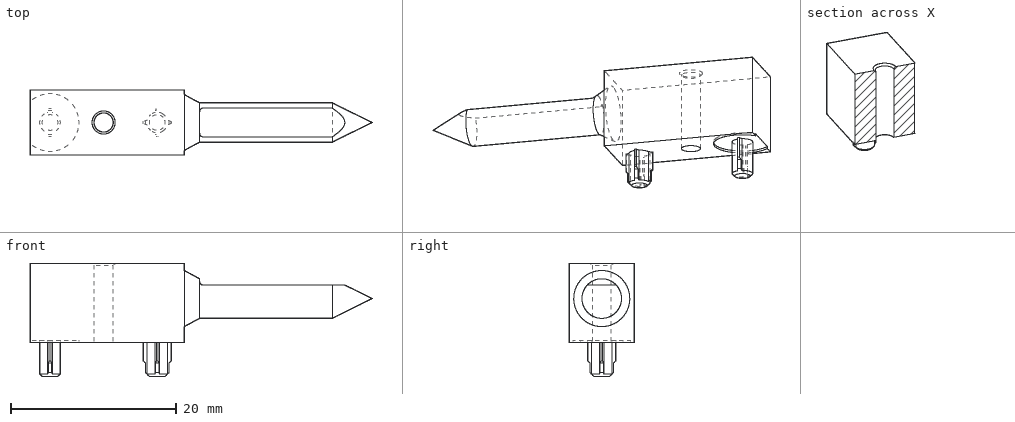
import cadquery as cq

BLOCK_LENGTH = 18.7
BLOCK_WIDTH = 7.9
BLOCK_HEIGHT = 9.6

TOTAL_LENGTH = 41.47
PLUG_RADIUS = 2.4
PLUG_AXIS_Z = 5.35
PLUG_FLAT_HEIGHT = 1.65
FLAT_END_FILLET = 0.4
COLLAR_RADIUS = 3.4
COLLAR_LENGTH = 1.85
TIP_LENGTH = 4.85

HOLE_X = 8.9
HOLE_DIAMETER = 2.3
HOLE_CHAMFER = 0.25

REAR_PIN_X = 2.4
PIN_PITCH = 13.0
PLUG_SIDE_PIN_X = REAR_PIN_X + PIN_PITCH
PIN_LENGTH = 4.1
PIN_RADIUS = 1.25
PIN_END_RADIUS = 0.95
RIB_LOWER_RADIUS = 1.45
RIB_UPPER_RADIUS = 1.7
REAR_PIN_RIB_ANGLES = [90, 270]
PLUG_SIDE_PIN_RIB_ANGLES = [0, 90, 180, 270]
RIB_STEP_DEPTH = 2.2
RIB_BASE_WIDTH = 0.56
RIB_CREST_WIDTH = 0.2
RIB_TRIM = 0.1

RECESS_DIAMETER = 7.0
RECESS_DEPTH = 0.25


def make_block():
    """Rectangular housing with the chamfered through hole and the pin recess."""
    block = cq.Workplane("XY").box(
        BLOCK_LENGTH, BLOCK_WIDTH, BLOCK_HEIGHT, centered=(False, True, False)
    )
    hole = (
        cq.Workplane("XY", origin=(HOLE_X, 0, 0))
        .circle(HOLE_DIAMETER / 2)
        .extrude(BLOCK_HEIGHT)
    )
    countersink = cq.Workplane(
        cq.Solid.makeCone(
            HOLE_DIAMETER / 2,
            HOLE_DIAMETER / 2 + HOLE_CHAMFER,
            HOLE_CHAMFER,
            pnt=cq.Vector(HOLE_X, 0, BLOCK_HEIGHT - HOLE_CHAMFER),
        )
    )
    recess = (
        cq.Workplane("XY", origin=(REAR_PIN_X, 0, 0))
        .circle(RECESS_DIAMETER / 2)
        .extrude(RECESS_DEPTH)
    )
    return block.cut(hole).cut(countersink).cut(recess)


def make_plug():
    """Turned plug with a conical collar and tip, and a flat along its top."""
    collar_end = BLOCK_LENGTH + COLLAR_LENGTH
    plug = (
        cq.Workplane("XZ")
        .moveTo(BLOCK_LENGTH, PLUG_AXIS_Z)
        .lineTo(BLOCK_LENGTH, PLUG_AXIS_Z + COLLAR_RADIUS)
        .lineTo(collar_end, PLUG_AXIS_Z + PLUG_RADIUS)
        .lineTo(TOTAL_LENGTH - TIP_LENGTH, PLUG_AXIS_Z + PLUG_RADIUS)
        .lineTo(TOTAL_LENGTH, PLUG_AXIS_Z)
        .close()
        .revolve(360, (BLOCK_LENGTH, PLUG_AXIS_Z, 0), (TOTAL_LENGTH, PLUG_AXIS_Z, 0))
    )
    flat_z = PLUG_AXIS_Z + PLUG_FLAT_HEIGHT
    flat_cutter = (
        cq.Workplane("XZ")
        .moveTo(collar_end, BLOCK_HEIGHT)
        .lineTo(collar_end, flat_z + FLAT_END_FILLET)
        .radiusArc((collar_end + FLAT_END_FILLET, flat_z), -FLAT_END_FILLET)
        .lineTo(TOTAL_LENGTH, flat_z)
        .lineTo(TOTAL_LENGTH, BLOCK_HEIGHT)
        .close()
        .extrude(PLUG_RADIUS, both=True)
    )
    return plug.cut(flat_cutter)


def make_rib():
    """Full height rib along +X whose flanks converge outward, rooted on the pin axis."""
    flank_slope = (RIB_BASE_WIDTH - RIB_CREST_WIDTH) / 2 / (RIB_UPPER_RADIUS - PIN_RADIUS)
    root_half_width = RIB_CREST_WIDTH / 2 + flank_slope * RIB_UPPER_RADIUS
    crest_half_width = RIB_CREST_WIDTH / 2 - flank_slope * RIB_TRIM
    crest_x = RIB_UPPER_RADIUS + RIB_TRIM
    return (
        cq.Workplane("XY", origin=(0, 0, -PIN_LENGTH))
        .polyline([
            (0, -root_half_width),
            (crest_x, -crest_half_width),
            (crest_x, crest_half_width),
            (0, root_half_width),
        ])
        .close()
        .extrude(PIN_LENGTH + RECESS_DEPTH)
    )


def make_pin_envelope():
    """Turned outline of the ribbed pin: stepped rib crests and a chamfered end."""
    rib_step = RIB_UPPER_RADIUS - RIB_LOWER_RADIUS
    end_chamfer = RIB_LOWER_RADIUS - PIN_END_RADIUS
    return (
        cq.Workplane("XZ")
        .polyline([
            (0, RECESS_DEPTH),
            (RIB_UPPER_RADIUS, RECESS_DEPTH),
            (RIB_UPPER_RADIUS, -RIB_STEP_DEPTH),
            (RIB_LOWER_RADIUS, -RIB_STEP_DEPTH - rib_step),
            (RIB_LOWER_RADIUS, -PIN_LENGTH + end_chamfer),
            (PIN_END_RADIUS, -PIN_LENGTH),
            (0, -PIN_LENGTH),
        ])
        .close()
        .revolve(360, (0, 0, 0), (0, 1, 0))
    )


def make_pin(pin_x, rib_angles):
    """Round core with ribs at the given angles, trimmed to the pin envelope."""
    pin = (
        cq.Workplane("XY", origin=(0, 0, -PIN_LENGTH))
        .circle(PIN_RADIUS)
        .extrude(PIN_LENGTH + RECESS_DEPTH)
    )
    for angle in rib_angles:
        pin = pin.union(make_rib().rotate((0, 0, 0), (0, 0, 1), angle))
    return pin.intersect(make_pin_envelope()).translate((pin_x, 0, 0))


result = (
    make_block()
    .union(make_plug())
    .union(make_pin(REAR_PIN_X, REAR_PIN_RIB_ANGLES))
    .union(make_pin(PLUG_SIDE_PIN_X, PLUG_SIDE_PIN_RIB_ANGLES))
)